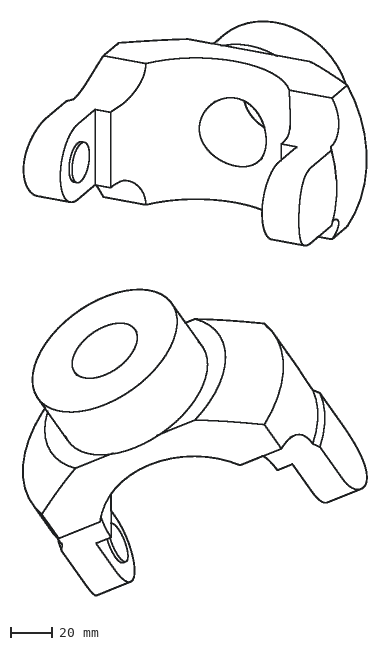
import cadquery as cq

overall_length = 132.5

ear_outer_radius = 74.1
ear_width = 40.0
ear_inner_x = 54.2
ear_end_radius = ear_width / 2
ear_tip_y = -ear_end_radius

body_radius = 72.0
body_height = 75.0
body_top_radius = 50.0
body_top_y = 81.0
cone_start_y = 62.5
step_start_y = 23.5
step_end_y = 27.0

boss_diameter = 80.0
boss_end_y = ear_tip_y + overall_length
bore_diameter = 36.0

throat_radius = 46.0
shoulder_y = 20.0

neck_radius = (body_height - ear_width) / 2
neck_end_y = 44.9
neck_start_y = neck_end_y - neck_radius

pad_diameter = 20.0
pad_height = 1.6


def turned_blank():
    """Body and ears as one solid turned about the shaft axis."""
    return (
        cq.Workplane("XY")
        .moveTo(0, ear_tip_y)
        .lineTo(ear_outer_radius, ear_tip_y)
        .lineTo(ear_outer_radius, step_start_y)
        .lineTo(body_radius, step_end_y)
        .lineTo(body_radius, cone_start_y)
        .lineTo(body_top_radius, body_top_y)
        .lineTo(0, body_top_y)
        .close()
        .revolve(360, (0, 0, 0), (0, 1, 0))
    )


def side_outline():
    """Rounded ears, concave necks and full-height body, extruded along X."""
    half_ear = ear_width / 2
    half_body = body_height / 2
    neck_mid_offset = neck_radius * 0.5 ** 0.5
    neck_mid_y = neck_start_y + neck_mid_offset
    neck_mid_z = half_body - neck_mid_offset
    return (
        cq.Workplane("YZ")
        .moveTo(0, -half_ear)
        .lineTo(neck_start_y, -half_ear)
        .threePointArc((neck_mid_y, -neck_mid_z), (neck_end_y, -half_body))
        .lineTo(body_top_y, -half_body)
        .lineTo(body_top_y, half_body)
        .lineTo(neck_end_y, half_body)
        .threePointArc((neck_mid_y, neck_mid_z), (neck_start_y, half_ear))
        .lineTo(0, half_ear)
        .threePointArc((ear_tip_y, 0), (0, -half_ear))
        .close()
        .extrude(ear_outer_radius, both=True)
    )


def throat():
    """Round throat between the arms and the wider gap between the ears."""
    round_throat = (
        cq.Workplane("XY", origin=(0, shoulder_y, -body_height))
        .circle(throat_radius)
        .extrude(2 * body_height)
    )
    ear_gap = cq.Workplane("XY").box(
        2 * ear_inner_x, 2 * shoulder_y, 2 * body_height
    )
    return round_throat.union(ear_gap)


def shaft_cylinder(diameter, start_y, end_y):
    """Cylinder on the shaft axis between two Y positions."""
    return (
        cq.Workplane("XZ", origin=(0, start_y, 0))
        .circle(diameter / 2)
        .extrude(start_y - end_y)
    )


def ear_pad(side):
    """Thin round pad on the inner face of one ear; side is -1 or 1."""
    return (
        cq.Workplane("YZ", origin=(side * ear_inner_x, 0, 0))
        .circle(pad_diameter / 2)
        .extrude(-side * pad_height)
    )


result = turned_blank().intersect(side_outline()).cut(throat())
result = result.union(shaft_cylinder(boss_diameter, body_top_y, boss_end_y))
result = result.cut(shaft_cylinder(bore_diameter, shoulder_y, boss_end_y))
for ear_side in (-1, 1):
    result = result.union(ear_pad(ear_side))